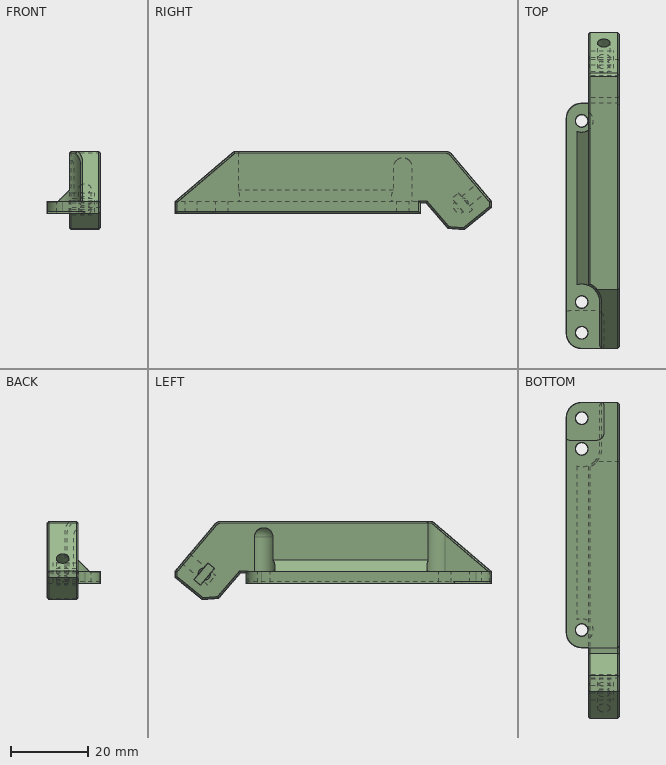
import cadquery as cq
import math

width = 13.8
length = 81.9
height_above_base = 16.15
edge_chamfer = 0.5
tolerance = 0.01

flange_length = 63.6
flange_thickness = 3.1
corner_radius = 4.0
hole_diameter = 3.2
hole_x = corner_radius
front_hole_y = 4.1
middle_hole_y = 12.05
rear_hole_y = 59.0

wall_x = 5.7
notch_z = 2.7
notch_y = 65.1
front_slope_top_y = 15.3
rear_top_y = 70.5

nose_shoulder = (71.4, 15.7)
nose_tip_upper = (length, 3.2)
nose_tip_lower = (length, 1.55)
nose_bottom = (74.9, -4.2)
nose_heel = (70.7, -3.85)

front_clearance_radius = 4.7
rear_clearance_radius = 2.95
rear_clearance_dome_z = 12.05

rib_x = 2.8
rib_height = wall_x - rib_x

relief_depth = 0.5
relief_size = 10.8
relief_center = 4.4
relief_corner_radius = 2.05

nose_angle = 50.0
nut_y = 74.4
nut_z = 2.45
nut_width = 5.65
nut_thickness = 2.2
nut_pocket_depth = 6.5
screw_tip_depth = 2.45
screw_length = 12.3
nut_ring_depth = 0.25


def make_wall():
    profile = [
        (0, 0),
        (0, flange_thickness),
        (front_slope_top_y, height_above_base),
        (rear_top_y, height_above_base),
        nose_shoulder,
        nose_tip_upper,
        nose_tip_lower,
        nose_bottom,
        nose_heel,
        (notch_y, notch_z),
        (flange_length, notch_z),
        (flange_length, 0),
    ]
    wall = cq.Workplane("YZ", origin=(wall_x, 0, 0)).polyline(profile).close().extrude(width - wall_x)
    wall = wall.faces(">X").chamfer(edge_chamfer)
    return wall.cut(make_front_clearance(0))


def make_front_clearance(base_z):
    """Room around the two front screws, rounded about the middle one and open to -Y."""
    radius = front_clearance_radius
    return (
        cq.Workplane("XY", origin=(0, 0, base_z))
        .moveTo(hole_x - radius, 0)
        .lineTo(hole_x + radius, 0)
        .lineTo(hole_x + radius, middle_hole_y)
        .threePointArc((hole_x, middle_hole_y + radius), (hole_x - radius, middle_hole_y))
        .close()
        .extrude(height_above_base + 0.8)
    )


def is_exposed_edge(edge):
    """Outline edges on the -X side, leaving the clearance corners and flange joint sharp."""
    center = edge.Center()
    box = edge.BoundingBox()
    along_x = box.ylen < tolerance and box.zlen < tolerance
    vertical = box.xlen < tolerance and box.ylen < tolerance
    at_flange = center.y < flange_length + tolerance and (vertical or center.z < tolerance)
    on_far_side = center.x > width - 2 * edge_chamfer
    return not (along_x or at_flange or on_far_side)


def chamfer_exposed_edges(wall):
    edges = [edge for edge in wall.edges().vals() if is_exposed_edge(edge)]
    return wall.newObject(edges).chamfer(edge_chamfer)


def make_flange():
    flange = cq.Workplane("XY").box(width - edge_chamfer, flange_length, flange_thickness, centered=False)
    return flange.edges("|Z and <X").fillet(corner_radius)


def make_rib():
    start_y = middle_hole_y
    profile = [
        (rib_x, flange_thickness),
        (wall_x, flange_thickness + rib_height),
        (wall_x + edge_chamfer, flange_thickness + rib_height),
        (wall_x + edge_chamfer, flange_thickness),
    ]
    rib = cq.Workplane("XZ", origin=(0, start_y, 0)).polyline(profile).close()
    return rib.extrude(start_y - rear_hole_y).cut(make_front_clearance(flange_thickness))


def make_rear_clearance():
    radius = rear_clearance_radius
    shaft = (
        cq.Workplane("XY", origin=(hole_x, rear_hole_y, flange_thickness))
        .circle(radius)
        .extrude(rear_clearance_dome_z - flange_thickness)
    )
    dome = cq.Workplane("XY", origin=(hole_x, rear_hole_y, rear_clearance_dome_z)).sphere(radius)
    return shaft.union(dome)


def make_mounting_holes():
    centers = [(hole_x, y) for y in (front_hole_y, middle_hole_y, rear_hole_y)]
    return cq.Workplane("XY").pushPoints(centers).circle(hole_diameter / 2).extrude(flange_thickness)


def make_corner_relief():
    return (
        cq.Workplane("XY")
        .center(relief_center, relief_center)
        .rect(relief_size, relief_size)
        .extrude(relief_depth)
        .edges("|Z")
        .fillet(relief_corner_radius)
    )


def make_nose_cutouts():
    """Blind screw hole square to the nose slope, and a nut slot entered from -X."""
    angle = math.radians(nose_angle)
    outward = cq.Vector(0, math.sin(angle), math.cos(angle))
    nut_center = cq.Vector((wall_x + width) / 2, nut_y, nut_z)
    screw_start = nut_center - outward * screw_tip_depth
    screw_plane = cq.Plane(screw_start, (1, 0, 0), outward)
    screw = cq.Workplane(screw_plane).circle(hole_diameter / 2).extrude(screw_length)
    nut_slot = (
        cq.Workplane("YZ", origin=(wall_x, nut_y, nut_z))
        .transformed(rotate=(0, 0, -nose_angle))
        .rect(nut_width, nut_thickness)
        .extrude(nut_pocket_depth)
    )
    ring = cq.Workplane("YZ", origin=(wall_x, nut_y, nut_z)).circle(hole_diameter / 2).extrude(nut_ring_depth)
    return screw.union(nut_slot).union(ring)


wall = chamfer_exposed_edges(make_wall())
result = wall.union(make_flange()).union(make_rib())
result = result.cut(make_rear_clearance()).cut(make_mounting_holes())
result = result.cut(make_corner_relief()).cut(make_nose_cutouts())